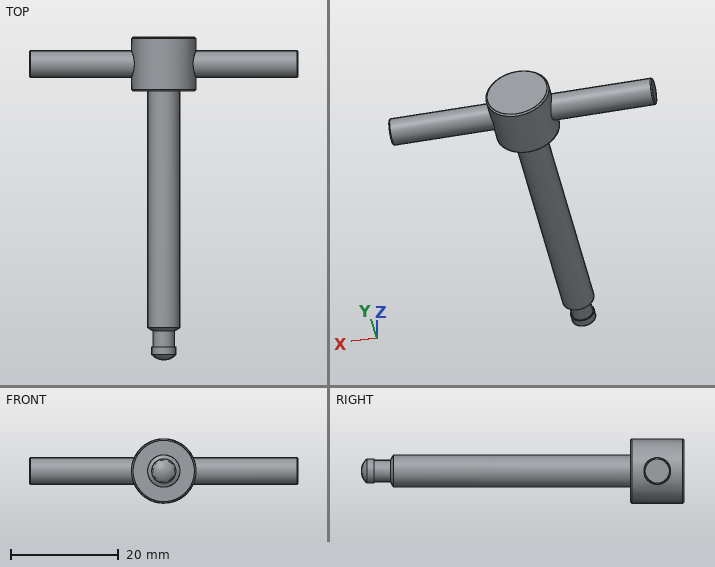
import cadquery as cq
import math

total_length = 60.0
handle_length = 50.0

head_diameter = 12.0
head_length = 10.0
head_chamfer = 0.3

handle_diameter = 5.0
handle_chamfer = 0.25

shaft_diameter = 6.0
shoulder_length = 0.6
neck_diameter = 4.0
neck_length = 3.0
tip_diameter = 4.5
tip_rim_length = 1.4
dome_height = 1.0

head_back = total_length / 2
head_front = head_back - head_length
tip_end = -total_length / 2
dome_base = tip_end + dome_height
tip_base = dome_base + tip_rim_length
shaft_end = tip_base + neck_length


def make_head():
    """Round head along Y with both rims chamfered."""
    return (
        cq.Workplane("XZ", origin=(0, head_back, 0))
        .circle(head_diameter / 2)
        .extrude(head_length)
        .edges()
        .chamfer(head_chamfer)
    )


def make_handle():
    """Round bar along X through the middle of the head, chamfered at both ends."""
    handle_y = (head_back + head_front) / 2
    return (
        cq.Workplane("YZ", origin=(-handle_length / 2, handle_y, 0))
        .circle(handle_diameter / 2)
        .extrude(handle_length)
        .faces("<X or >X")
        .chamfer(handle_chamfer)
    )


def make_shaft():
    """Shaft, conical shoulder, neck and domed tip as one half profile turned about Y."""
    shaft_radius = shaft_diameter / 2
    neck_radius = neck_diameter / 2
    tip_radius = tip_diameter / 2

    dome_radius = (tip_radius**2 + dome_height**2) / (2 * dome_height)
    half_angle = math.asin(tip_radius / dome_radius) / 2
    dome_middle = (
        dome_radius * math.sin(half_angle),
        tip_end + dome_radius * (1 - math.cos(half_angle)),
    )

    return (
        cq.Workplane("XY")
        .moveTo(0, head_front)
        .lineTo(shaft_radius, head_front)
        .lineTo(shaft_radius, shaft_end + shoulder_length)
        .lineTo(neck_radius, shaft_end)
        .lineTo(neck_radius, tip_base)
        .lineTo(tip_radius, tip_base)
        .lineTo(tip_radius, dome_base)
        .threePointArc(dome_middle, (0, tip_end))
        .close()
        .revolve(360, (0, 0, 0), (0, 1, 0))
    )


result = make_head().union(make_handle()).union(make_shaft())